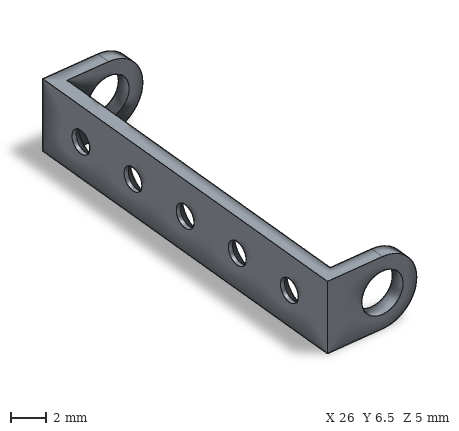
import cadquery as cq

length = 26.0
depth = 6.5
height = 5.0
thickness = 1.0
small_hole_diameter = 1.6
small_hole_count = 5
small_hole_spacing = 4.75
countersink_diameter = 3.0
countersink_angle = 90.0
ear_hole_diameter = 3.0

ear_radius = height / 2
ear_center_y = depth - ear_radius


def make_web():
    """Flat strip in the XZ plane with a centred row of holes, countersunk on the inner face."""
    web = cq.Workplane("XY").box(length, thickness, height, centered=(True, False, True))
    return (
        web.faces(">Y")
        .workplane(centerOption="CenterOfBoundBox")
        .rarray(small_hole_spacing, 0.25, small_hole_count, 1)
        .cskHole(small_hole_diameter, countersink_diameter, countersink_angle)
    )


def make_ear(start_x):
    """Round-ended ear with a through hole, spanning one thickness along +X."""
    plate = (
        cq.Workplane("YZ", origin=(start_x, 0, 0))
        .moveTo(0, -ear_radius)
        .lineTo(ear_center_y, -ear_radius)
        .threePointArc((depth, 0), (ear_center_y, ear_radius))
        .lineTo(0, ear_radius)
        .close()
        .extrude(thickness)
    )
    hole = (
        cq.Workplane("YZ", origin=(start_x, ear_center_y, 0))
        .circle(ear_hole_diameter / 2)
        .extrude(thickness)
    )
    return plate.cut(hole)


left_ear = make_ear(-length / 2)
right_ear = make_ear(length / 2 - thickness)
result = make_web().union(left_ear).union(right_ear)